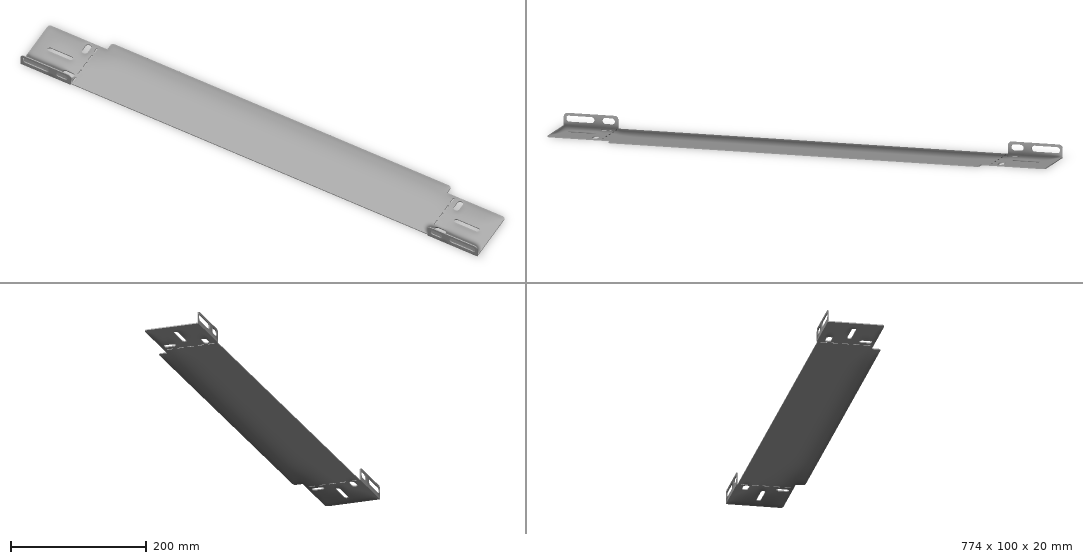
import cadquery as cq

length = 774.0
width = 100.0
height = 20.0
thickness = 1.5

front_y = -width / 2
back_y = width / 2
body_front_y = front_y + thickness
step_depth = 14.0
end_back_y = back_y - step_depth
tab_length = 576.0
corner_radius = 5.0

flange_length = 84.0
flange_corner_radius = 5.5
flange_center_x = (length - flange_length) / 2

slot_width = 9.0
short_slot_length = 19.0
short_slot_x = 315.0
rear_slot_y = 22.0
front_slot_y = -34.0
narrow_slot_length = 42.5
narrow_slot_width = 7.0
narrow_slot_x = 344.5
narrow_slot_y = -5.5
flange_slot_z = 11.5
flange_short_slot_x = 317.0
flange_long_slot_length = 44.0
flange_long_slot_x = 361.5

slit_count = 5
slit_length = 10.0
slit_width = 2.0
slit_pitch = 16.0
slit_x = 302.0
slit_row_y = -6.0

SIDES = (-1, 1)


def make_plate():
    end_depth = end_back_y - body_front_y
    ends = cq.Workplane("XY").box(length, end_depth, thickness, centered=(True, False, False))
    ends = ends.edges("|Z and >Y").fillet(corner_radius)
    tab_depth = back_y - body_front_y
    tab = cq.Workplane("XY").box(tab_length, tab_depth, thickness, centered=(True, False, False))
    tab = tab.edges("|Z and >Y").fillet(corner_radius)
    return ends.union(tab).translate((0, body_front_y, 0))


def make_flange(side):
    flange = cq.Workplane("XY").box(flange_length, thickness, height, centered=(True, False, False))
    flange = flange.edges("|Y and >Z").fillet(flange_corner_radius)
    return flange.translate((side * flange_center_x, front_y, 0))


def plate_slot(x, y, slot_length, slot_height, angle=0):
    return (
        cq.Workplane("XY")
        .center(x, y)
        .slot2D(slot_length, slot_height, angle)
        .extrude(thickness)
    )


def flange_slot(x, slot_length):
    return (
        cq.Workplane("XZ", origin=(x, front_y, flange_slot_z))
        .slot2D(slot_length, slot_width)
        .extrude(-thickness)
    )


def slit_row(x):
    return (
        cq.Workplane("XY")
        .center(x, slit_row_y)
        .rarray(8, slit_pitch, 1, slit_count)
        .rect(slit_width, slit_length)
        .extrude(thickness)
    )


result = make_plate()
for side in SIDES:
    result = result.union(make_flange(side))
for side in SIDES:
    result = result.cut(plate_slot(side * short_slot_x, rear_slot_y, short_slot_length, slot_width, 90))
    result = result.cut(plate_slot(side * short_slot_x, front_slot_y, short_slot_length, slot_width))
    result = result.cut(plate_slot(side * narrow_slot_x, narrow_slot_y, narrow_slot_length, narrow_slot_width))
    result = result.cut(flange_slot(side * flange_short_slot_x, short_slot_length))
    result = result.cut(flange_slot(side * flange_long_slot_x, flange_long_slot_length))
    result = result.cut(slit_row(side * slit_x))